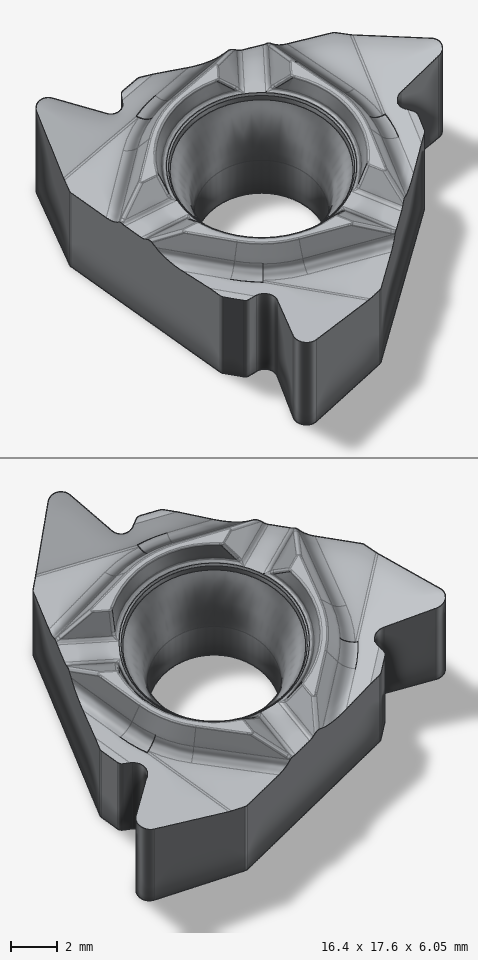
import cadquery as cq
import math

CORNERS = 3
TURN = 360 / CORNERS

wall_radius = 6.35
floor_z = 4.97
top_z = 6.05
corner_round = 0.28

flank_half_angle = math.radians(28)
apex_x = -3.86
apex_y = 9.94
tip_radius = 0.58
tooth_rise = math.radians(10)
fold_y = 5.92
fold_radius = 0.6

groove_x = -1.72
groove_y = 7.2
groove_radius = 0.56
groove_exit = math.radians(50)
land_y = 7.25
land_step_y = 6.92

boss_top_radius = 4.85
boss_slope = math.radians(55)
foot_radius = 0.77
boss_arc = 31.5
fold_angle = 13
boss_edge_round = 0.1

slot_floor_z = 5.3
slot_floor_width = 1.16
slot_slope = math.radians(38)
slot_floor_round = 0.37
slot_direction = 165
slot_offset = 0.09
slot_inner_end = 2.63
slot_edge_round = 0.18

hole_radius = 5.7 / 2
seat_radius = 3.9
seat_bottom_z = 2.21
seat_top_z = 5.0
rim_radius = 3.97
rim_round = 0.09
pocket_top_radius = 4.53
pocket_slope = math.radians(67)
pocket_floor_round = 0.18

reach = 10.54
margin = 0.05
axis = ((0, 0, 0), (0, 0, 1))


def polar(center_x, center_y, radius, angle):
    return (center_x + radius * math.cos(angle), center_y + radius * math.sin(angle))


def rotate_point(point, degrees):
    distance = math.hypot(*point)
    angle = math.atan2(point[1], point[0]) + math.radians(degrees)
    return polar(0, 0, distance, angle)


def around(shape):
    """Fuse copies of a shape at all three corners."""
    copies = shape
    for i in range(1, CORNERS):
        copies = copies.union(shape.rotate(*axis, i * TURN))
    return copies


def body_outline():
    """Clockwise outline starting on the -X wall, and the sharp points of one of its corners."""
    flank_start = (-wall_radius, apex_y - (apex_x + wall_radius) / math.tan(flank_half_angle))
    tip_center = (apex_x, apex_y - tip_radius / math.sin(flank_half_angle))
    tip_left = polar(*tip_center, tip_radius, math.pi - flank_half_angle)
    tip_top = polar(*tip_center, tip_radius, math.pi / 2)
    tip_right = polar(*tip_center, tip_radius, flank_half_angle)
    groove_start = polar(groove_x, groove_y, groove_radius, math.pi + flank_half_angle)
    groove_bottom = polar(groove_x, groove_y, groove_radius, -math.pi / 2)
    groove_end = polar(groove_x, groove_y, groove_radius, groove_exit - math.pi / 2)
    land_start = (groove_end[0] + (land_y - groove_end[1]) / math.tan(groove_exit), land_y)
    land_end = (2 * wall_radius - land_y * math.sqrt(3), land_y)

    outline = cq.Workplane("XY").moveTo(*flank_start)
    for i in range(CORNERS):
        turn = -i * TURN
        if i > 0:
            outline = outline.lineTo(*rotate_point(flank_start, turn))
        outline = outline.lineTo(*rotate_point(tip_left, turn))
        outline = outline.threePointArc(rotate_point(tip_top, turn), rotate_point(tip_right, turn))
        outline = outline.lineTo(*rotate_point(groove_start, turn))
        outline = outline.threePointArc(rotate_point(groove_bottom, turn), rotate_point(groove_end, turn))
        outline = outline.lineTo(*rotate_point(land_start, turn))
        outline = outline.lineTo(*rotate_point(land_end, turn))
    sharp_corners = [flank_start, land_start, land_end]
    return outline.close(), sharp_corners


def body_prism():
    """Full-height body with its sharp vertical corners rounded."""
    outline, sharp_corners = body_outline()
    prism = outline.extrude(top_z)
    for corner in sharp_corners:
        for i in range(CORNERS):
            x, y = rotate_point(corner, -i * TURN)
            near = cq.selectors.BoxSelector((x - margin, y - margin, 0), (x + margin, y + margin, top_z))
            prism = prism.edges("|Z").edges(near).fillet(corner_round)
    return prism


def tooth_face():
    """Wedge under the rising tooth face, with the land beside the groove kept flat."""
    fold_tangent = fold_radius * math.tan(tooth_rise / 2)
    fold_end = (fold_y + fold_tangent * math.cos(tooth_rise),
                floor_z + fold_tangent * math.sin(tooth_rise))
    fold_middle = (fold_y - fold_tangent + fold_radius * math.sin(tooth_rise / 2),
                   floor_z + fold_radius * (1 - math.cos(tooth_rise / 2)))
    wedge = (
        cq.Workplane("YZ")
        .moveTo(fold_y - fold_tangent, 0)
        .lineTo(fold_y - fold_tangent, floor_z)
        .threePointArc(fold_middle, fold_end)
        .lineTo(reach, floor_z + (reach - fold_y) * math.tan(tooth_rise))
        .lineTo(reach, 0)
        .close()
        .extrude(reach, both=True)
    )
    land_z = floor_z + (land_step_y - fold_y) * math.tan(tooth_rise)
    above_land = cq.Workplane("XY").box(reach, reach, reach, centered=False)
    return wedge.cut(above_land.translate((groove_x, land_step_y, land_z)))


def boss_profile(floor_slope):
    """Half section of the boss: flat top, sloping wall and a concave foot tangent to the floor."""
    wall_rise = math.tan(boss_slope)
    floor_rise = math.tan(floor_slope)
    boss_height = top_z - floor_z
    corner_r = boss_height + boss_top_radius * wall_rise + fold_y * floor_rise
    corner_r /= wall_rise + floor_rise
    corner_z = floor_z + (corner_r - fold_y) * floor_rise
    half_turn = (boss_slope + floor_slope) / 2
    tangent = foot_radius * math.tan(half_turn)
    sagitta = foot_radius / math.cos(half_turn) - foot_radius
    foot_end = polar(corner_r, corner_z, tangent, floor_slope)
    foot_middle = polar(corner_r, corner_z, sagitta, (math.pi + floor_slope - boss_slope) / 2)
    foot_top = polar(corner_r, corner_z, tangent, math.pi - boss_slope)
    return (
        cq.Workplane("YZ")
        .lineTo(foot_end[0], 0)
        .lineTo(*foot_end)
        .threePointArc(foot_middle, foot_top)
        .lineTo(boss_top_radius, top_z)
        .lineTo(0, top_z)
        .close()
    )


def boss():
    """Round stretch on the axis with a straight stretch running off each end to the walls."""
    half_corner = math.radians((TURN - boss_arc) / 2)
    wall_distance = wall_radius / math.cos(math.radians(TURN / 2) - half_corner)
    straight_length = wall_distance * math.sin(half_corner)
    round_part = boss_profile(0).revolve(boss_arc, (0, 0), (0, 1))
    round_part_on_tooth = boss_profile(tooth_rise).revolve(fold_angle, (0, 0), (0, 1))
    first_straight = boss_profile(tooth_rise).extrude(straight_length)
    second_straight = boss_profile(0).extrude(-straight_length).rotate(*axis, boss_arc)
    return round_part.union(round_part_on_tooth).union(first_straight).union(second_straight)


def slot():
    """Cutter for a slot along +X with sloping walls and rounded floor corners."""
    half_floor = slot_floor_width / 2
    height = top_z - slot_floor_z
    half_top = half_floor + height / math.tan(slot_slope)
    cutter = (
        cq.Workplane("YZ", origin=(slot_inner_end, 0, 0))
        .moveTo(slot_offset - half_floor, slot_floor_z)
        .lineTo(slot_offset + half_floor, slot_floor_z)
        .lineTo(slot_offset + half_top, top_z)
        .lineTo(slot_offset - half_top, top_z)
        .close()
        .extrude(reach)
    )
    return cutter.edges("|X").edges("<Z").fillet(slot_floor_round)


def screw_seat():
    """Through hole, trumpet-shaped seat, rounded rim and the pocket around it."""
    seat_depth = seat_top_z - seat_bottom_z
    seat_step = seat_radius - hole_radius
    seat_curve = (seat_depth ** 2 + seat_step ** 2) / (2 * seat_step)
    half_turn = math.asin(seat_depth / seat_curve) / 2
    seat_middle = (hole_radius + seat_curve * (1 - math.cos(half_turn)),
                   seat_bottom_z + seat_curve * math.sin(half_turn))
    pocket_floor_radius = pocket_top_radius - (top_z - slot_floor_z) / math.tan(pocket_slope)

    hole = (
        cq.Workplane("XZ")
        .lineTo(hole_radius, 0)
        .lineTo(hole_radius, seat_bottom_z)
        .threePointArc(seat_middle, (seat_radius, seat_top_z))
        .lineTo(rim_radius, slot_floor_z - rim_round)
        .lineTo(rim_radius + rim_round, slot_floor_z)
        .lineTo(0, slot_floor_z)
        .close()
        .revolve(360, (0, 0), (0, 1))
    )
    pocket = (
        cq.Workplane("XZ", origin=(0, 0, slot_floor_z))
        .lineTo(pocket_floor_radius, 0)
        .lineTo(pocket_top_radius, top_z - slot_floor_z)
        .lineTo(0, top_z - slot_floor_z)
        .close()
        .revolve(360, (0, 0), (0, 1))
        .faces("<Z")
        .edges()
        .fillet(pocket_floor_round)
    )
    return hole.union(pocket)


def slot_wall_edges(body):
    """Slanted edges where the slot walls meet the boss walls and the pocket wall."""
    edges = []
    for edge in body.edges().vals():
        low, high = sorted(end.z for end in (edge.startPoint(), edge.endPoint()))
        if high > top_z - margin and slot_floor_z + margin < low < top_z - margin:
            edges.append(edge)
    return edges


prism = body_prism()
floor = cq.Workplane("XY").circle(reach).extrude(floor_z)
body = floor.union(around(tooth_face())).union(around(boss())).intersect(prism)
body = body.cut(around(slot().rotate(*axis, slot_direction)))
body = body.cut(screw_seat())
body = body.newObject(slot_wall_edges(body)).fillet(slot_edge_round)
result = body.faces(">Z").edges().fillet(boss_edge_round)